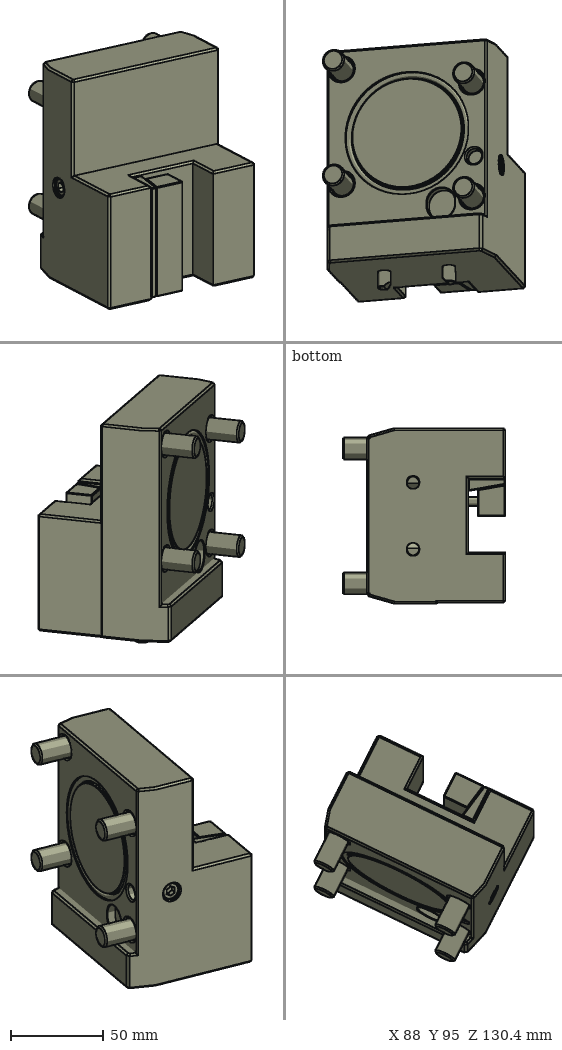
import cadquery as cq
import math


WIDTH = 95.0
BACK_X = 70.0
COLUMN_TOP = 121.3
STEP_X = 33.9
BLOCK_TOP = 66.2
BLOCK_INSET = 0.5
TAPER_START_X = 10.0
TAPER_ANGLE = 16.0
FOOT_LENGTH = 5.0
FOOT_TOP = 21.4
FOOT_CORNER_RADIUS = 0.5
EDGE_CHAMFER = 1.2
FOOT_SIDE_CHAMFER = 1.3
MOUNT_SIDE_CHAMFER = 0.9

SLOT_DEPTH = 20.0
SLOT_WIDTH = 39.9
SLOT_CENTER_Y = -BLOCK_INSET / 2

STUD_DIAMETER = 12.0
STUD_REACH = 18.0
STUD_CHAMFER = 0.9
STUD_Y = 36.5
STUD_Z_FAR = 39.0
STUD_Z_NEAR = 26.0
STUD_HOLE_DIAMETER = 13.0
STUD_HOLE_DEPTH = 2.0
STUD_COUNTERSINK = 0.9

SEAL_Z = 71.3
GROOVE_OUTER_DIAMETER = 69.2
GROOVE_ISLAND_DIAMETER = 61.0
GROOVE_LIP_CHAMFER = 0.3
GROOVE_DEPTH = 2.2
SEAL_CORD_DIAMETER = 3.0
SEAL_RECESS = 0.1

COOLANT_Y = -37.5
COOLANT_Z = 55.3
COOLANT_DIAMETER = 8.5
COOLANT_DEPTH = 5.0
COOLANT_COUNTERSINK = 0.9
SCREW_X = 20.1
SCREW_Z = COOLANT_Z
SCREW_DIAMETER = 10.0
SCREW_RECESS = 1.3
SCREW_COUNTERSINK = 0.7
SCREW_CHAMFER = 0.5
SOCKET_FLATS = 5.0
SOCKET_DEPTH = 3.3

POCKET_Y = -19.0
POCKET_WIDTH = 15.6
POCKET_TOP = 38.6
POCKET_DEPTH = FOOT_LENGTH
POCKET_CHAMFER = 0.4

PIN_DIAMETER = 7.0
PIN_REACH = 9.1
PIN_X = SCREW_X
PIN_Y = 18.1
PIN_CHAMFER = 0.4
PIN_BEVEL = 3.0

WEDGE_DEPTH = 15.0
WEDGE_TOP_Y = 0.3
WEDGE_TAPER = 10.0
GIB_BACK_THICKNESS = 3.3
INSERT_CHAMFER = 0.5
INSERT_END_GAP = 1.5
ROD_DIAMETER = 5.0
ROD_Y = -7.8

HALF_WIDTH = WIDTH / 2
FOOT_X = -FOOT_LENGTH
SLOT_FLOOR_X = BACK_X - SLOT_DEPTH
SLOT_LOW_Y = SLOT_CENTER_Y - SLOT_WIDTH / 2


def x_cylinder(diameter, x_start, x_end, y, z):
    plane = cq.Plane(origin=(x_start, y, z), xDir=(0, 1, 0), normal=(1, 0, 0))
    return cq.Workplane(plane).circle(diameter / 2).extrude(x_end - x_start)


def countersunk_hole(diameter, depth, countersink, y, z):
    """Hole into the mounting face, with a 45 degree countersink."""
    mouth = cq.Workplane(cq.Plane(origin=(0, y, z), xDir=(0, 1, 0), normal=(1, 0, 0)))
    mouth = mouth.circle(diameter / 2 + countersink).extrude(countersink, taper=45)
    return x_cylinder(diameter, 0, depth, y, z).union(mouth)


def side_half_width(x):
    """Half width of the leaning column sides at x."""
    return HALF_WIDTH - (TAPER_START_X - x) * math.tan(math.radians(TAPER_ANGLE))


def tapered_prism(front_x, back_x, height):
    """Upright slab with leaning sides in front of TAPER_START_X and straight sides behind it."""
    front_half_width = side_half_width(front_x)
    outline = [
        (front_x, -front_half_width),
        (TAPER_START_X, -HALF_WIDTH),
        (back_x, -HALF_WIDTH),
        (back_x, HALF_WIDTH),
        (TAPER_START_X, HALF_WIDTH),
        (front_x, front_half_width),
    ]
    return cq.Workplane("XY").polyline(outline).close().extrude(height)


def make_column():
    column = tapered_prism(0, STEP_X, COLUMN_TOP)
    column = column.edges("|Z and <X").chamfer(MOUNT_SIDE_CHAMFER)
    column = column.edges("|Z and >X").chamfer(EDGE_CHAMFER)
    return column.faces(">Z or <Z").edges().chamfer(EDGE_CHAMFER)


def make_foot():
    """Foot under the mounting face; its rear end is buried in the column."""
    foot = tapered_prism(FOOT_X, STEP_X / 2, FOOT_TOP)
    foot = foot.edges("|Z and <X").chamfer(FOOT_SIDE_CHAMFER)
    return foot.faces(">Z or <Z").edges("not >X").chamfer(EDGE_CHAMFER)


def make_block():
    """Rear block with the tool slot; its front end is buried in the column."""
    front = TAPER_START_X
    block = cq.Workplane("XY").box(
        BACK_X - front, WIDTH - BLOCK_INSET, BLOCK_TOP, centered=(False, True, False)
    )
    block = block.translate((front, -BLOCK_INSET / 2, 0))
    block = block.edges("not <X").chamfer(EDGE_CHAMFER)

    slot = cq.Workplane("XY").box(SLOT_DEPTH, SLOT_WIDTH, BLOCK_TOP, centered=(False, True, False))
    block = block.cut(slot.translate((SLOT_FLOOR_X, SLOT_CENTER_Y, 0)))
    flare_plane = cq.Workplane("XY", origin=(BACK_X, SLOT_CENTER_Y, BLOCK_TOP))
    flare = (
        flare_plane.rect(2 * (SLOT_DEPTH + EDGE_CHAMFER), SLOT_WIDTH + 2 * EDGE_CHAMFER)
        .extrude(-EDGE_CHAMFER, taper=45)
    )
    return block.cut(flare).cut(flare.mirror("XY", (0, 0, BLOCK_TOP / 2)))


def stud_places():
    """Y and Z of each stud axis."""
    return [
        (side * STUD_Y, SEAL_Z + side * offset)
        for side in (1, -1)
        for offset in (STUD_Z_FAR, -STUD_Z_NEAR)
    ]


def add_stud(housing, y, z):
    """Stud standing on the floor of a slightly wider countersunk hole."""
    hole = countersunk_hole(STUD_HOLE_DIAMETER, STUD_HOLE_DEPTH, STUD_COUNTERSINK, y, z)
    stud = x_cylinder(STUD_DIAMETER, -STUD_REACH, STUD_HOLE_DEPTH, y, z)
    stud = stud.faces("<X").chamfer(STUD_CHAMFER)
    return housing.cut(hole).union(stud)


def cut_seal_groove(housing):
    """Ring groove whose section is bounded by the round top and inner flank of the seal."""
    outer_radius = GROOVE_OUTER_DIAMETER / 2
    cord_radius = SEAL_CORD_DIAMETER / 2
    cord_x = SEAL_RECESS + cord_radius
    lip_radius = GROOVE_ISLAND_DIAMETER / 2
    wall_radius = lip_radius + GROOVE_LIP_CHAMFER
    section = (
        cq.Workplane("XY", origin=(0, 0, SEAL_Z))
        .moveTo(0, outer_radius)
        .lineTo(cord_x, outer_radius)
        .threePointArc((SEAL_RECESS, outer_radius - cord_radius), (cord_x, outer_radius - 2 * cord_radius))
        .lineTo(GROOVE_DEPTH, outer_radius - 2 * cord_radius)
        .lineTo(GROOVE_DEPTH, wall_radius)
        .lineTo(GROOVE_LIP_CHAMFER, wall_radius)
        .lineTo(0, lip_radius)
        .close()
    )
    return housing.cut(section.revolve(360, (0, 0, 0), (1, 0, 0)))


def cut_pocket(housing):
    height = POCKET_TOP - FOOT_TOP
    center = (0, POCKET_Y, FOOT_TOP + height / 2)
    plane = cq.Plane(origin=center, xDir=(0, 0, 1), normal=(1, 0, 0))
    pocket = cq.Workplane(plane).slot2D(height, POCKET_WIDTH).extrude(POCKET_DEPTH)
    rim = (
        cq.Workplane(plane)
        .slot2D(height + 2 * POCKET_CHAMFER, POCKET_WIDTH + 2 * POCKET_CHAMFER)
        .extrude(POCKET_CHAMFER, taper=45)
    )
    return housing.cut(pocket).cut(rim)


def cut_set_screw(housing):
    """Recessed screw face with a hexagon socket, in the -Y side."""
    plane = cq.Plane(origin=(SCREW_X, -HALF_WIDTH, SCREW_Z), xDir=(1, 0, 0), normal=(0, 1, 0))
    side = cq.Workplane(plane)
    recess = side.circle(SCREW_DIAMETER / 2).extrude(SCREW_RECESS + SCREW_CHAMFER)
    screw_end = side.workplane(offset=SCREW_RECESS).circle(SCREW_DIAMETER / 2).extrude(SCREW_CHAMFER * 2)
    recess = recess.cut(screw_end.faces("<Y").chamfer(SCREW_CHAMFER))
    mouth = side.circle(SCREW_DIAMETER / 2 + SCREW_COUNTERSINK).extrude(SCREW_COUNTERSINK, taper=45)
    socket = side.polygon(6, SOCKET_FLATS, circumscribed=True).extrude(SCREW_RECESS + SOCKET_DEPTH)
    return housing.cut(recess).cut(mouth).cut(socket)


def make_pin(side):
    """Pin under the housing, its tip bevelled on the side that faces the other pin."""
    pin = cq.Workplane("XY", origin=(PIN_X, side * PIN_Y, -PIN_REACH)).circle(PIN_DIAMETER / 2)
    pin = pin.extrude(PIN_REACH + EDGE_CHAMFER).faces("<Z").chamfer(PIN_CHAMFER)
    inner_y = side * (PIN_Y - PIN_DIAMETER / 2)
    corner = [
        (inner_y, -PIN_REACH),
        (inner_y + side * PIN_BEVEL, -PIN_REACH),
        (inner_y, -PIN_REACH + PIN_BEVEL),
    ]
    bevel = cq.Workplane("YZ", origin=(PIN_X, 0, 0)).polyline(corner).close()
    bevel = bevel.extrude(PIN_DIAMETER / 2, both=True)
    return pin.cut(bevel)


def make_housing():
    housing = make_column().union(make_foot()).union(make_block())
    foot_corner = cq.selectors.NearestToPointSelector((0, 0, FOOT_TOP))
    housing = housing.edges("|Y").edges(foot_corner).fillet(FOOT_CORNER_RADIUS)
    housing = cut_seal_groove(housing)
    for y, z in stud_places():
        housing = add_stud(housing, y, z)
    housing = housing.cut(
        countersunk_hole(COOLANT_DIAMETER, COOLANT_DEPTH, COOLANT_COUNTERSINK, COOLANT_Y, COOLANT_Z)
    )
    housing = cut_pocket(housing)
    housing = cut_set_screw(housing)
    for side in (1, -1):
        housing = housing.union(make_pin(side))
    return housing


def taper_y(x):
    """Sliding plane between the gib and the wedge."""
    return SLOT_LOW_Y + GIB_BACK_THICKNESS + (BACK_X - x) * math.tan(math.radians(WEDGE_TAPER))


def insert_body(outline):
    """Chamfered prism standing upright in the tool slot."""
    base = cq.Workplane("XY", origin=(0, 0, INSERT_END_GAP))
    body = base.polyline(outline).close().extrude(BLOCK_TOP - 2 * INSERT_END_GAP)
    return body.edges().chamfer(INSERT_CHAMFER)


def make_gib():
    outline = [
        (SLOT_FLOOR_X, SLOT_LOW_Y),
        (BACK_X, SLOT_LOW_Y),
        (BACK_X, taper_y(BACK_X)),
        (SLOT_FLOOR_X, taper_y(SLOT_FLOOR_X)),
    ]
    return insert_body(outline)


def make_wedge():
    """Clamping wedge with the rod that reaches the slot floor."""
    front = BACK_X - WEDGE_DEPTH
    outline = [
        (front, taper_y(front)),
        (BACK_X, taper_y(BACK_X)),
        (BACK_X, WEDGE_TOP_Y),
        (front, WEDGE_TOP_Y),
    ]
    rod = x_cylinder(ROD_DIAMETER, SLOT_FLOOR_X, front + INSERT_CHAMFER, ROD_Y, BLOCK_TOP / 2)
    return insert_body(outline).union(rod)


housing = make_housing()
gib = make_gib()
wedge = make_wedge()

result = cq.Compound.makeCompound([housing.val(), gib.val(), wedge.val()])